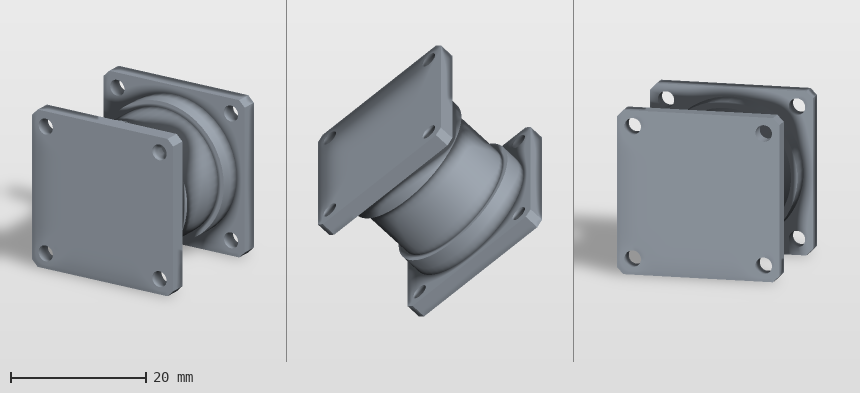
import cadquery as cq

plate_side = 24.82
plate_thickness = 2.5
corner_chamfer = 1.0
hole_diameter = 2.5
hole_pitch = 20.0

overall_length = 22.0
collar_diameter = 22.0
collar_length = 3.5
core_diameter = 20.0

half_length = overall_length / 2
core_length = overall_length - 2 * (plate_thickness + collar_length)


def along_y(start_y):
    """Sketch plane facing +Y, placed at the given Y position."""
    return cq.Workplane(cq.Plane(origin=(0, start_y, 0), xDir=(1, 0, 0), normal=(0, 1, 0)))


def end_plate(start_y):
    """Square plate with chamfered corners and four mounting holes."""
    plate = along_y(start_y).rect(plate_side, plate_side).extrude(plate_thickness)
    plate = plate.edges("|Y").chamfer(corner_chamfer)
    holes = (
        along_y(start_y)
        .rect(hole_pitch, hole_pitch, forConstruction=True)
        .vertices()
        .circle(hole_diameter / 2)
        .extrude(plate_thickness)
    )
    return plate.cut(holes)


def cylinder(start_y, diameter, length):
    """Solid cylinder along Y."""
    return along_y(start_y).circle(diameter / 2).extrude(length)


result = cylinder(-core_length / 2, core_diameter, core_length)
for collar_start in (-core_length / 2 - collar_length, core_length / 2):
    result = result.union(cylinder(collar_start, collar_diameter, collar_length))
for plate_start in (-half_length, half_length - plate_thickness):
    result = result.union(end_plate(plate_start))